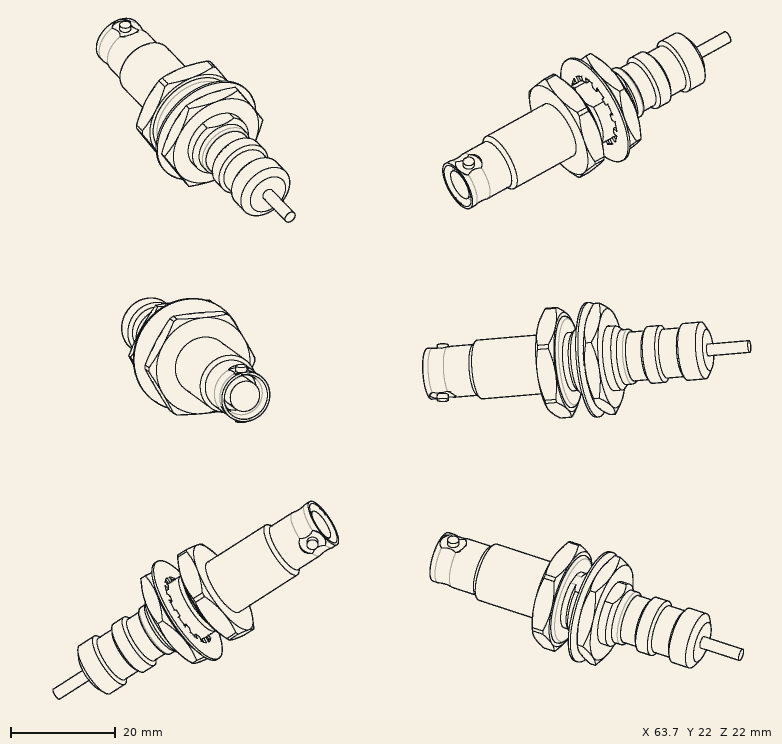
import cadquery as cq
import math

TOTAL_LENGTH = 63.65

NOSE_RADIUS = 4.9
MOUTH_RADIUS = 4.4
BORE_RADIUS = 3.95
MOUTH_TAPER_LENGTH = 1.65
BORE_DEPTH = 5.1
CORE_RADIUS = 3.0
CORE_SETBACK = 0.5

LUG_X = 2.6
LUG_RADIUS = 1.1
LUG_TIP = 5.5
SPOT_FACE_RADIUS = 2.55
SPOT_FACE_HEIGHT = 4.45
GROOVE_WIDTH = 3.05
GROOVE_DEPTH = 0.2

BARREL_START = 9.2
BARREL_RADIUS = 5.65

HEX_ACROSS_FLATS = 19.0
HEX_CHAMFER_ANGLE = 30.0
HEX_START = 23.9
HEX_LENGTH = 3.6
HEX_CORNER_RADIUS = 10.75
HEX_END = HEX_START + HEX_LENGTH
HEX_APOTHEM = HEX_ACROSS_FLATS / 2
HEX_CORNER = HEX_APOTHEM / math.cos(math.radians(30))

SHOULDER_LENGTH = 0.6
SHOULDER_RADIUS = 8.8
SHOULDER_ROUNDING = 0.5
SHOULDER_END = HEX_END + SHOULDER_LENGTH

NECK_RADIUS = 5.6
THREAD_START = 29.2
THREAD_END = 38.7
THREAD_RADIUS = 6.25
THREAD_END_TAPER = 0.8
FLAT_HEIGHT = 5.5

COLLAR_END = 40.35
COLLAR_RADIUS = 5.3
COLLAR_ROUNDING = 0.45
TUBE_RADIUS = 4.7
RING_RADIUS = 5.5
RING_EDGE_LENGTH = 0.5
FIRST_RING_START = 43.4
FIRST_RING_END = 46.9
LAST_RING_START = 50.5
SLEEVE_END = 55.45
END_CHAMFER_LENGTH = 0.95
END_RADIUS = 3.95

WASHER_START = 32.3
WASHER_THICKNESS = 0.45
WASHER_RADIUS = 11.0
NOTCH_RADIUS = 7.3
TOOTH_COUNT = 12
NOTCH_ANGLE = 18.0

NUT_START = 33.4
NUT_LENGTH = 2.8

CABLE_RADIUS = 1.15


def revolve_about_x(points):
    """Solid of revolution from (X, radius) points that start and end on the axis."""
    profile = cq.Workplane("XZ").polyline(points).close()
    return profile.revolve(360, (0, 0, 0), (1, 0, 0))


def cylinder_along_x(start, length, radius):
    return cq.Workplane("YZ").workplane(offset=start).circle(radius).extrude(length)


def chamfered_hexagon(start, length, corner_radius):
    """Hexagonal prism with flats at +-Z, both ends chamfered and the corners turned to a radius."""
    prism = (
        cq.Workplane("YZ").workplane(offset=start)
        .polygon(6, 2 * HEX_CORNER).extrude(length)
    )
    end = start + length
    taper = (corner_radius - HEX_APOTHEM) * math.tan(math.radians(HEX_CHAMFER_ANGLE))
    envelope = revolve_about_x([
        (start, 0),
        (start, HEX_APOTHEM),
        (start + taper, corner_radius),
        (end - taper, corner_radius),
        (end, HEX_APOTHEM),
        (end, 0),
    ])
    return prism.intersect(envelope)


def make_nose_and_barrel():
    barrel_chamfer = BARREL_RADIUS - NOSE_RADIUS
    return revolve_about_x([
        (0, 0),
        (0, NOSE_RADIUS),
        (BARREL_START, NOSE_RADIUS),
        (BARREL_START + barrel_chamfer, BARREL_RADIUS),
        (HEX_START, BARREL_RADIUS),
        (HEX_START, 0),
    ])


def make_socket_cavity():
    """Annular cavity with a tapered mouth, round a standing core that is set back from the mouth."""
    cavity = revolve_about_x([
        (0, 0),
        (0, MOUTH_RADIUS),
        (MOUTH_TAPER_LENGTH, BORE_RADIUS),
        (BORE_DEPTH, BORE_RADIUS),
        (BORE_DEPTH, 0),
    ])
    return cavity.cut(cylinder_along_x(CORE_SETBACK, BORE_DEPTH, CORE_RADIUS))


def make_nose_groove():
    """Ring with a shallow arc as its inner profile, centred on the lugs."""
    clear_radius = NOSE_RADIUS + GROOVE_DEPTH
    front = LUG_X - GROOVE_WIDTH / 2
    rear = LUG_X + GROOVE_WIDTH / 2
    return (
        cq.Workplane("XY").moveTo(front, clear_radius).lineTo(front, NOSE_RADIUS)
        .threePointArc((LUG_X, NOSE_RADIUS - GROOVE_DEPTH), (rear, NOSE_RADIUS))
        .lineTo(rear, clear_radius).close()
        .revolve(360, (0, 0, 0), (1, 0, 0))
    )


def add_bayonet_lugs(nose):
    """Spot-face the nose on top and bottom and stand a round lug on each face."""
    for side in (1, -1):
        face_plane = cq.Workplane("XY", origin=(LUG_X, 0, side * SPOT_FACE_HEIGHT))
        spot_face = face_plane.circle(SPOT_FACE_RADIUS).extrude(side * NOSE_RADIUS)
        lug = face_plane.circle(LUG_RADIUS).extrude(side * (LUG_TIP - SPOT_FACE_HEIGHT))
        nose = nose.cut(spot_face).union(lug)
    return nose


def rounded_collar(start, end, radius, rounding):
    """Cylinder whose rear edge is rounded over."""
    return cylinder_along_x(start, end - start, radius).faces(">X").edges().fillet(rounding)


def make_threaded_section():
    """Neck and thread, chamfered at both ends of the thread, with the flat cut along the top."""
    section = revolve_about_x([
        (SHOULDER_END, 0),
        (SHOULDER_END, NECK_RADIUS),
        (THREAD_START, NECK_RADIUS),
        (THREAD_START + THREAD_RADIUS - NECK_RADIUS, THREAD_RADIUS),
        (THREAD_END - THREAD_END_TAPER, THREAD_RADIUS),
        (THREAD_END, COLLAR_RADIUS),
        (THREAD_END, 0),
    ])
    flat_length = THREAD_END - SHOULDER_END
    above_flat = cq.Workplane("XY").box(
        flat_length, 2 * THREAD_RADIUS, THREAD_RADIUS, centered=(False, True, False)
    ).translate((SHOULDER_END, 0, FLAT_HEIGHT))
    return section.cut(above_flat)


def make_rear_sleeve():
    """Tube with two raised rings whose conical edges lead down to it."""
    return revolve_about_x([
        (THREAD_END, 0),
        (THREAD_END, TUBE_RADIUS),
        (FIRST_RING_START, TUBE_RADIUS),
        (FIRST_RING_START + RING_EDGE_LENGTH, RING_RADIUS),
        (FIRST_RING_END - RING_EDGE_LENGTH, RING_RADIUS),
        (FIRST_RING_END, TUBE_RADIUS),
        (LAST_RING_START, TUBE_RADIUS),
        (LAST_RING_START + RING_EDGE_LENGTH, RING_RADIUS),
        (SLEEVE_END - END_CHAMFER_LENGTH, RING_RADIUS),
        (SLEEVE_END, END_RADIUS),
        (SLEEVE_END, 0),
    ])


def make_housing():
    nose = make_nose_and_barrel().cut(make_nose_groove()).cut(make_socket_cavity())
    nose = add_bayonet_lugs(nose)
    hexagon = chamfered_hexagon(HEX_START, HEX_LENGTH, HEX_CORNER_RADIUS)
    shoulder = rounded_collar(HEX_END, SHOULDER_END, SHOULDER_RADIUS, SHOULDER_ROUNDING)
    collar = rounded_collar(THREAD_END, COLLAR_END, COLLAR_RADIUS, COLLAR_ROUNDING)
    return (
        nose.union(hexagon)
        .union(shoulder)
        .union(make_threaded_section())
        .union(collar)
        .union(make_rear_sleeve())
    )


def make_lock_washer():
    """Thin disc on the thread whose inner edge is notched into evenly spaced teeth."""
    washer = (
        cq.Workplane("YZ").workplane(offset=WASHER_START)
        .circle(WASHER_RADIUS).circle(THREAD_RADIUS).extrude(WASHER_THICKNESS)
    )
    half_angle = math.radians(NOTCH_ANGLE / 2)
    side_y = NOTCH_RADIUS * math.sin(half_angle)
    side_z = NOTCH_RADIUS * math.cos(half_angle)
    notch = (
        cq.Workplane("YZ").workplane(offset=WASHER_START)
        .lineTo(-side_y, side_z)
        .threePointArc((0, NOTCH_RADIUS), (side_y, side_z))
        .close().extrude(WASHER_THICKNESS)
    )
    pitch = 360 / TOOTH_COUNT
    for index in range(TOOTH_COUNT):
        washer = washer.cut(notch.rotate((0, 0, 0), (1, 0, 0), (index + 0.5) * pitch))
    return washer


def make_nut():
    blank = chamfered_hexagon(NUT_START, NUT_LENGTH, HEX_CORNER)
    return blank.cut(cylinder_along_x(NUT_START, NUT_LENGTH, THREAD_RADIUS))


def make_cable():
    return cylinder_along_x(SLEEVE_END, TOTAL_LENGTH - SLEEVE_END, CABLE_RADIUS)


housing = make_housing()
lock_washer = make_lock_washer()
nut = make_nut()
cable = make_cable()

result = cq.Compound.makeCompound([housing.val(), lock_washer.val(), nut.val(), cable.val()])